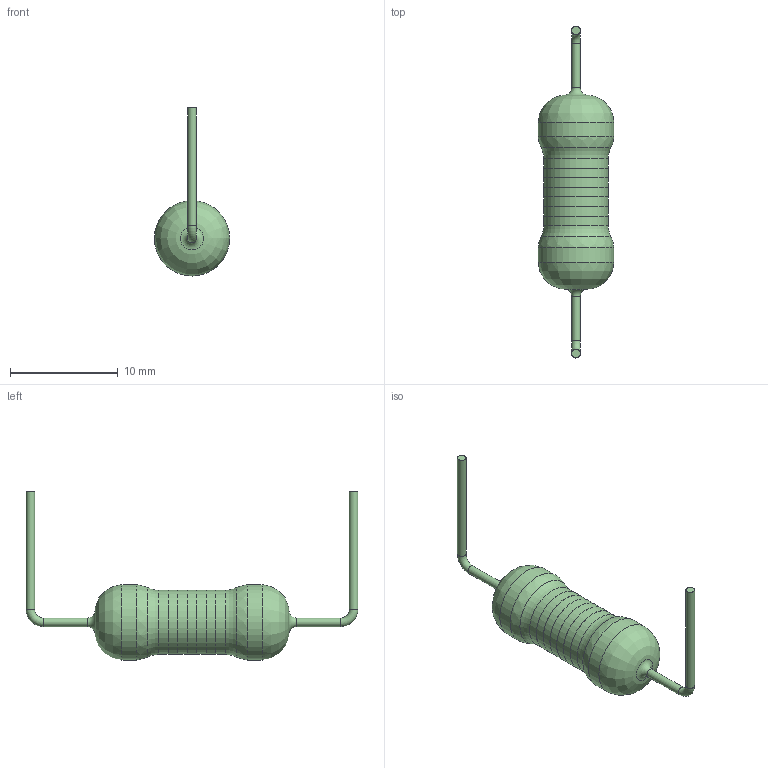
import cadquery as cq
import math


cap_radius = 7.0 / 2
waist_radius = 5.95 / 2
body_half_length = 9.0
end_round_radius = 2.5
cap_land_inner = 5.15
waist_blend_radius = 2.1

band_radius = 5.97 / 2
band_count = 3

lead_radius = 0.8 / 2
lead_pitch = 30.0
lead_top = 12.1
bend_radius = 1.2
collar_radius = 0.7

cap_land_outer = body_half_length - end_round_radius
end_round_centre_radius = cap_radius - end_round_radius
collar_centre_radius = lead_radius + collar_radius
centre_distance = end_round_radius + collar_radius
centre_offset = collar_centre_radius - end_round_centre_radius
collar_end = cap_land_outer + math.sqrt(centre_distance**2 - centre_offset**2)
contact_fraction = end_round_radius / centre_distance
contact_radius = end_round_centre_radius + contact_fraction * centre_offset
contact_y = cap_land_outer + contact_fraction * (collar_end - cap_land_outer)

half_step = (cap_radius - waist_radius) / 2
half_blend = math.sqrt(2 * waist_blend_radius * half_step - half_step**2)
waist_half_length = cap_land_inner - 2 * half_blend

band_width = 2 * waist_half_length / (2 * band_count + 1)
band_pitch = 2 * band_width
first_band_y = -band_pitch * (band_count - 1) / 2


def make_half_body():
    """Half of the turned body, from the centre to the +Y lead collar."""
    profile = (
        cq.Workplane("XY")
        .lineTo(waist_radius, 0)
        .lineTo(waist_radius, waist_half_length)
        .radiusArc((waist_radius + half_step, waist_half_length + half_blend), waist_blend_radius)
        .radiusArc((cap_radius, cap_land_inner), -waist_blend_radius)
        .lineTo(cap_radius, cap_land_outer)
        .radiusArc((contact_radius, contact_y), -end_round_radius)
        .radiusArc((lead_radius, collar_end), collar_radius)
        .lineTo(0, collar_end)
        .close()
    )
    return profile.revolve(360, (0, 0, 0), (0, 1, 0))


def make_lead():
    """The +Y lead: straight out of the collar, round the bend and up."""
    lead_y = lead_pitch / 2
    bend_start = lead_y - bend_radius
    path = (
        cq.Workplane("YZ")
        .moveTo(collar_end, 0)
        .lineTo(bend_start, 0)
        .radiusArc((lead_y, bend_radius), -bend_radius)
        .lineTo(lead_y, lead_top)
    )
    section = cq.Workplane("XZ", origin=(0, collar_end, 0)).circle(lead_radius)
    return section.sweep(path)


def make_band(centre_y):
    """One colour band around the waist."""
    start_y = centre_y - band_width / 2
    return cq.Workplane("XZ", origin=(0, start_y, 0)).circle(band_radius).extrude(-band_width)


half = make_half_body().union(make_lead())
result = half.union(half.mirror("XZ"))
for index in range(band_count):
    result = result.union(make_band(first_band_y + index * band_pitch))